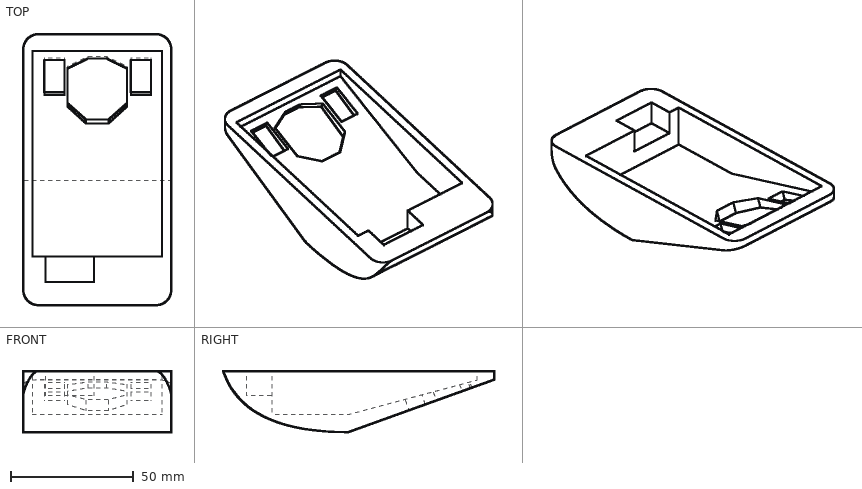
import cadquery as cq
import math

WIDTH = 60.46
LENGTH = 110.65
HEIGHT = 25.0
CORNER_RADIUS = 6.35

SLOPE_ANGLE = 19.8
KEEL_Y = 51.0
NOSE_CONTROL_Y = 8.25

POCKET_WIDTH = 52.75
POCKET_FRONT_Y = 20.0
POCKET_REAR_Y = 103.65
POCKET_FLOOR_Z = 7.2
FLOOR_ANGLE = 15.0

NOTCH_LEFT_X = -21.15
NOTCH_WIDTH = 19.9
NOTCH_FRONT_Y = 9.45
NOTCH_DEPTH = 10.0

SLOT_WIDTH = 8.1
SLOT_PAIR_CENTER_X = 0.15
SLOT_OFFSET_X = 17.65
SLOT_START = 38.25
SLOT_END = 52.95
WINDOW_HALF_WIDTH = 12.1
WINDOW_LOW_HALF_WIDTH = 4.65
WINDOW_HIGH_HALF_WIDTH = 3.75
WINDOW_START = 26.4
WINDOW_SIDE_START = 33.45
WINDOW_SIDE_END = 49.4
WINDOW_END = 53.65
CUT_REACH = 10.0


def make_body():
    """Side profile swept across the width, trimmed to a rounded rectangle."""
    rear_edge_z = (LENGTH - KEEL_Y) * math.tan(math.radians(SLOPE_ANGLE))
    profile = (
        cq.Workplane("YZ", origin=(-WIDTH / 2, 0, 0))
        .moveTo(0, HEIGHT)
        .bezier([(0, HEIGHT), (NOSE_CONTROL_Y, 0), (KEEL_Y, 0)])
        .lineTo(LENGTH, rear_edge_z)
        .lineTo(LENGTH, HEIGHT)
        .close()
        .extrude(WIDTH)
    )
    outline = (
        cq.Workplane("XY")
        .rect(WIDTH, LENGTH)
        .extrude(HEIGHT)
        .edges("|Z")
        .fillet(CORNER_RADIUS)
        .translate((0, LENGTH / 2, 0))
    )
    return profile.intersect(outline)


def make_pocket():
    """Pocket with a level floor in front and a rising floor behind."""
    rise = (POCKET_REAR_Y - KEEL_Y) * math.tan(math.radians(FLOOR_ANGLE))
    return (
        cq.Workplane("YZ", origin=(-POCKET_WIDTH / 2, 0, 0))
        .moveTo(POCKET_FRONT_Y, HEIGHT)
        .lineTo(POCKET_FRONT_Y, POCKET_FLOOR_Z)
        .lineTo(KEEL_Y, POCKET_FLOOR_Z)
        .lineTo(POCKET_REAR_Y, POCKET_FLOOR_Z + rise)
        .lineTo(POCKET_REAR_Y, HEIGHT)
        .close()
        .extrude(POCKET_WIDTH)
    )


def make_notch():
    """Rectangular notch that opens into the front wall of the pocket."""
    return cq.Workplane("XY").box(
        NOTCH_WIDTH, POCKET_FRONT_Y - NOTCH_FRONT_Y, NOTCH_DEPTH, centered=False
    ).translate((NOTCH_LEFT_X, NOTCH_FRONT_Y, HEIGHT - NOTCH_DEPTH))


def slope_plane():
    """Plane of the sloped underside: X across, Y up the slope from the keel."""
    angle = math.radians(SLOPE_ANGLE)
    return cq.Plane(
        origin=(0, KEEL_Y, 0),
        xDir=(1, 0, 0),
        normal=(0, -math.sin(angle), math.cos(angle)),
    )


def make_slots():
    """Pair of rectangular slots, square to the sloped underside."""
    slot_middle = (SLOT_START + SLOT_END) / 2
    return (
        cq.Workplane(slope_plane())
        .pushPoints([(SLOT_PAIR_CENTER_X + side * SLOT_OFFSET_X, slot_middle) for side in (-1, 1)])
        .rect(SLOT_WIDTH, SLOT_END - SLOT_START)
        .extrude(CUT_REACH, both=True)
    )


def make_window():
    """Eight-sided window between the slots, square to the sloped underside."""
    right_side = [
        (WINDOW_LOW_HALF_WIDTH, WINDOW_START),
        (WINDOW_HALF_WIDTH, WINDOW_SIDE_START),
        (WINDOW_HALF_WIDTH, WINDOW_SIDE_END),
        (WINDOW_HIGH_HALF_WIDTH, WINDOW_END),
    ]
    left_side = [(-x, y) for x, y in reversed(right_side)]
    return (
        cq.Workplane(slope_plane())
        .polyline(right_side + left_side)
        .close()
        .extrude(CUT_REACH, both=True)
    )


result = make_body()
for opening in (make_pocket(), make_notch(), make_slots(), make_window()):
    result = result.cut(opening)